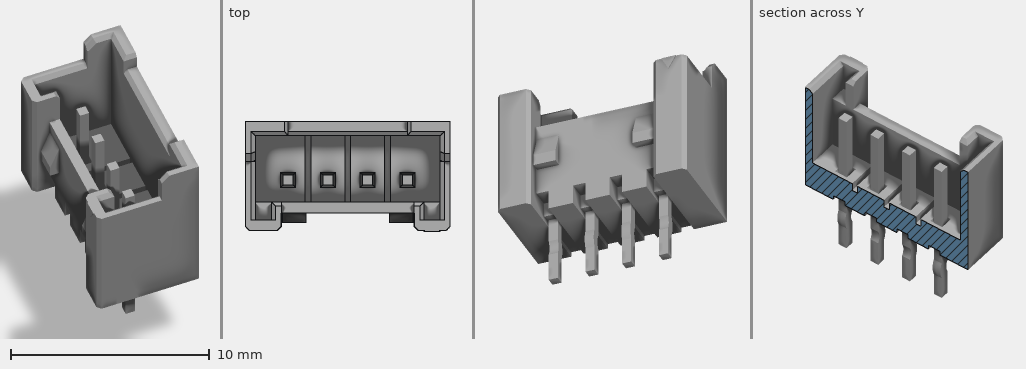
import cadquery as cq
import math


pin_count = 4
pin_span = 6.01
pin_width = 0.5
pin_top = 8.79
kink_z = 1.9
kink_height = 1.03
kink_offset = 0.11

width = 10.3
back_y = 2.95
depth = 5.5
wall = 0.5
back_wall = 0.72
bottom_z = 3.29
top_z = 11.8
floor_top = 5.11
lip_chamfer = 0.21
corner_chamfer = 0.2
notch_chamfer = 0.18

shoulder_z = 10.11
tall_depth = 2.02
tall_chamfer = 0.4
notch_z = 10.89

cheek_thickness = 0.53
front_wall_top = 8.3
front_wall_thickness = 0.55
front_wall_inset = 4.06

latch_width = 1.2
latch_gap = 0.05
latch_reach = 0.48
latch_bottom = 5.75
latch_edge_z = 6.35
latch_top = 7.56
channel_width = 0.68
channel_top = 3.55
slot_top = 4.33
slot_depth = 1.0
groove_width = 0.3
groove_depth = 0.47
socket_width = 0.74
socket_depth = 0.4
marker_width = 0.8
marker_height = 0.68
marker_relief = 0.05

half_width = width / 2
inner_x = half_width - wall
front_y = back_y - depth
back_inner_y = back_y - back_wall
step_y = back_y - tall_depth
cheek_inner_y = front_y + cheek_thickness
opening_x = (pin_span + channel_width) / 2
return_x = opening_x + wall
front_wall_inner_y = back_y - front_wall_inset
front_wall_y = front_wall_inner_y - front_wall_thickness
pin_pitch = pin_span / (pin_count - 1)
notch_width = pin_span
socket_taper = math.degrees(math.atan2((socket_width - pin_width) / 2, socket_depth))
pin_xs = [-pin_span / 2 + i * pin_pitch for i in range(pin_count)]
sides = (-1, 1)


def block(x0, x1, y0, y1, z0, z1):
    """Box between two opposite corners."""
    size = (abs(x1 - x0), abs(y1 - y0), abs(z1 - z0))
    center = ((x0 + x1) / 2, (y0 + y1) / 2, (z0 + z1) / 2)
    return cq.Workplane("XY").box(*size).translate(center)


def prism_along_x(points, x0, x1):
    """Prism with a (Y, Z) outline."""
    return cq.Workplane("YZ").polyline(points).close().extrude(x1 - x0).translate((x0, 0, 0))


def prism_along_y(points, y0, y1):
    """Prism with an (X, Z) outline."""
    return cq.Workplane("XZ").polyline(points).close().extrude(y0 - y1).translate((0, y0, 0))


def make_shell():
    """Stepped outer body, hollow above the floor, with the front opened between the cheeks."""
    side_outline = [
        (back_y, bottom_z),
        (back_y, top_z),
        (step_y + tall_chamfer, top_z),
        (step_y, top_z - tall_chamfer),
        (step_y, shoulder_z),
        (front_y, shoulder_z),
        (front_y, bottom_z),
    ]
    shell = prism_along_x(side_outline, -half_width, half_width)
    shell = shell.edges("|Z and <Y").chamfer(corner_chamfer)

    opening = block(-opening_x, opening_x, front_y, front_wall_y, bottom_z, top_z)
    opening = opening.union(block(-opening_x, opening_x, front_y, back_inner_y, front_wall_top, top_z))
    shell = shell.cut(opening)
    margin = corner_chamfer / 2
    for side in sides:
        front_corner = cq.selectors.BoxSelector(
            (side * opening_x - margin, front_y - margin, bottom_z - margin),
            (side * opening_x + margin, front_y + margin, shoulder_z + margin),
        )
        shell = shell.edges(front_corner).edges("|Z").chamfer(corner_chamfer)

    shell = shell.cut(block(-inner_x, inner_x, front_wall_inner_y, back_inner_y, floor_top, top_z))
    for side in sides:
        shell = shell.cut(
            block(side * return_x, side * inner_x, cheek_inner_y, front_wall_inner_y, front_wall_top, top_z)
        )
    return shell


def cut_back_notch(shell):
    """Lower the middle of the back wall, bevelling the upper corners of the notch."""
    half_notch = notch_width / 2
    outline = [
        (-half_notch, notch_z),
        (-half_notch, top_z - lip_chamfer),
        (-half_notch - notch_chamfer, top_z),
        (half_notch + notch_chamfer, top_z),
        (half_notch, top_z - lip_chamfer),
        (half_notch, notch_z),
    ]
    shell = shell.cut(prism_along_y(outline, back_inner_y, back_y))
    lip = [
        (back_inner_y, notch_z - lip_chamfer),
        (back_inner_y, notch_z),
        (back_inner_y + lip_chamfer, notch_z),
    ]
    return shell.cut(prism_along_x(lip, -half_notch, half_notch))


def cut_top_lips(shell):
    """Bevel the inner edges of the back wall, side walls and cheek returns."""
    mouth_back = back_inner_y + lip_chamfer
    mouth_width = 2 * (inner_x + lip_chamfer)
    mouth = (
        cq.Workplane("XY", origin=(0, mouth_back - depth / 2, top_z))
        .rect(mouth_width, depth)
        .extrude(-lip_chamfer, taper=45)
    )
    shell = shell.cut(mouth)
    for side in sides:
        wall_lip = [
            (side * inner_x, shoulder_z - lip_chamfer),
            (side * inner_x, shoulder_z),
            (side * (inner_x + lip_chamfer), shoulder_z),
        ]
        shell = shell.cut(prism_along_y(wall_lip, cheek_inner_y, step_y))
        return_lip = [
            (side * return_x, shoulder_z - lip_chamfer),
            (side * return_x, shoulder_z),
            (side * (return_x - lip_chamfer), shoulder_z),
        ]
        shell = shell.cut(prism_along_y(return_lip, cheek_inner_y, front_wall_inner_y))
        end_lip = [
            (front_wall_inner_y, shoulder_z - lip_chamfer),
            (front_wall_inner_y, shoulder_z),
            (front_wall_inner_y - lip_chamfer, shoulder_z),
        ]
        end_xs = sorted((side * opening_x, side * return_x))
        shell = shell.cut(prism_along_x(end_lip, *end_xs))
        shell = shell.cut(make_slope_lip(side))
    return shell


def make_slope_lip(side):
    """Triangular cutter along the inner edge of a side wall's sloped upper corner."""
    reach = 2 * tall_chamfer
    along = cq.Vector(0, -1, -1)
    middle = cq.Vector(side * inner_x, step_y + tall_chamfer / 2, top_z - tall_chamfer / 2)
    start = middle - along.normalized() * (reach / 2)
    plane = cq.Plane(origin=start, xDir=(side, 0, 0), normal=along)
    inward = -1 if plane.yDir.z > 0 else 1
    return (
        cq.Workplane(plane)
        .polyline([(0, 0), (lip_chamfer, 0), (0, inward * lip_chamfer)])
        .close()
        .extrude(reach)
    )


def cut_floor_details(shell):
    """Grooves between the contacts above the floor; channels and front slots below it."""
    for x in pin_xs[:-1]:
        groove_x0 = x + (pin_pitch - groove_width) / 2
        shell = shell.cut(
            block(
                groove_x0, groove_x0 + groove_width,
                front_wall_inner_y, back_inner_y,
                floor_top - groove_depth, floor_top,
            )
        )
    for x in pin_xs:
        x0 = x - channel_width / 2
        x1 = x + channel_width / 2
        shell = shell.cut(block(x0, x1, front_wall_y, back_y, bottom_z, channel_top))
        shell = shell.cut(block(x0, x1, front_wall_y, front_wall_y + slot_depth, bottom_z, slot_top))
        socket = (
            cq.Workplane("XY", origin=(x, 0, floor_top))
            .rect(socket_width, socket_width)
            .extrude(-socket_depth, taper=socket_taper)
        )
        shell = shell.cut(socket)
    return shell


def make_latch(side):
    """Ramped latch on the front wall beside a cheek."""
    outline = [
        (front_wall_y, latch_bottom),
        (front_wall_y - latch_reach, latch_bottom),
        (front_wall_y - latch_reach, latch_edge_z),
        (front_wall_y, latch_top),
    ]
    outer_x = opening_x - latch_gap
    x0, x1 = sorted((side * outer_x, side * (outer_x - latch_width)))
    return prism_along_x(outline, x0, x1)


def make_marker():
    """Raised triangle at the top of the +X cheek."""
    center_x = (opening_x + half_width) / 2
    outline = [
        (center_x - marker_width / 2, shoulder_z),
        (center_x + marker_width / 2, shoulder_z),
        (center_x, shoulder_z - marker_height),
    ]
    return prism_along_y(outline, front_y - marker_relief, front_y)


def make_pin(x, bulge):
    """Square pin whose tail is kinked by concentric arcs towards Y = bulge (+1 or -1)."""
    half = pin_width / 2
    outer_half = kink_height / 2
    outer_radius = (outer_half**2 + kink_offset**2) / (2 * kink_offset)
    inner_radius = outer_radius - pin_width
    inner_half = math.sqrt(inner_radius**2 - (inner_radius - kink_offset) ** 2)
    profile = (
        cq.Workplane("YZ")
        .moveTo(-bulge * half, 0)
        .lineTo(bulge * half, 0)
        .lineTo(bulge * half, kink_z - outer_half)
        .threePointArc((bulge * (half + kink_offset), kink_z), (bulge * half, kink_z + outer_half))
        .lineTo(bulge * half, pin_top)
        .lineTo(-bulge * half, pin_top)
        .lineTo(-bulge * half, kink_z + inner_half)
        .threePointArc((-bulge * (half - kink_offset), kink_z), (-bulge * half, kink_z - inner_half))
        .close()
    )
    return profile.extrude(pin_width).translate((x - half, 0, 0))


result = make_shell()
result = cut_back_notch(result)
result = cut_top_lips(result)
result = cut_floor_details(result)
result = result.union(make_marker())
for side in sides:
    result = result.union(make_latch(side))
for index, x in enumerate(pin_xs):
    is_end_pin = index in (0, pin_count - 1)
    result = result.union(make_pin(x, 1 if is_end_pin else -1))